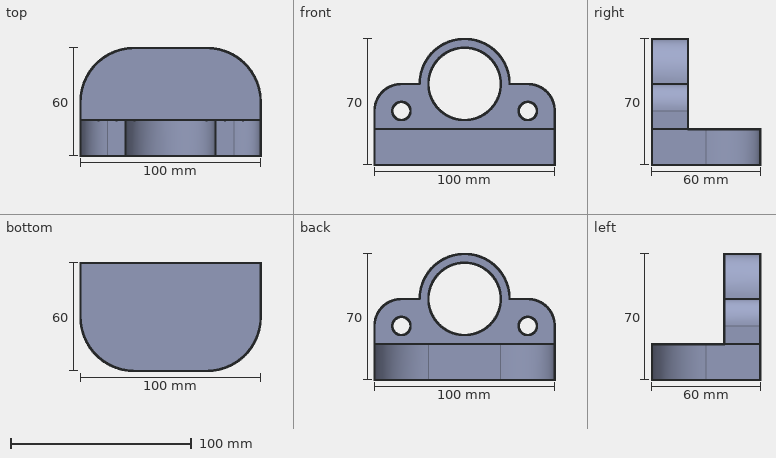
import cadquery as cq

width = 100.0
depth = 60.0
base_height = 20.0
base_corner_radius = 30.0

bracket_thickness = 20.0
shoulder_height = 45.0
shoulder_radius = 15.0
ring_outer_diameter = 50.0
ring_bore_diameter = 40.0
bolt_hole_diameter = 10.0

bolt_hole_x = width / 2 - shoulder_radius
bolt_hole_z = shoulder_height - shoulder_radius


def make_base():
    """Flat slab with its two rear corners rounded."""
    slab = cq.Workplane("XY").box(width, depth, base_height, centered=(True, False, False))
    return slab.edges("|Z and >Y").fillet(base_corner_radius)


def bracket_cylinder(diameter, x, z):
    """Cylinder along Y through the full bracket thickness."""
    return (
        cq.Workplane("XZ")
        .center(x, z)
        .circle(diameter / 2)
        .extrude(-bracket_thickness)
    )


def make_bracket():
    """Round-shouldered plate carrying a bored ring and two bolt holes."""
    plate = (
        cq.Workplane("XY", origin=(0, 0, base_height))
        .box(width, bracket_thickness, shoulder_height - base_height, centered=(True, False, False))
        .edges("|Y and >Z")
        .fillet(shoulder_radius)
    )
    bracket = plate.union(bracket_cylinder(ring_outer_diameter, 0, shoulder_height))
    bracket = bracket.cut(bracket_cylinder(ring_bore_diameter, 0, shoulder_height))
    for side in (-1, 1):
        bracket = bracket.cut(bracket_cylinder(bolt_hole_diameter, side * bolt_hole_x, bolt_hole_z))
    return bracket


base = make_base()
bracket = make_bracket()

result = cq.Compound.makeCompound([base.val(), bracket.val()])